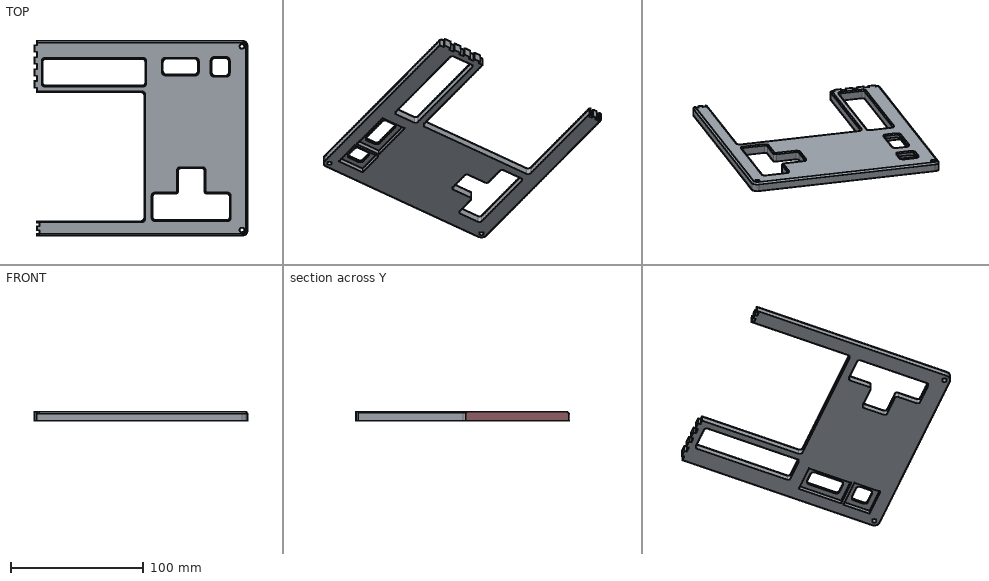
import cadquery as cq

LENGTH = 161.4
WIDTH = 147.5
THICKNESS = 7.0
RIGHT = LENGTH / 2
LEFT = -LENGTH / 2
BACK = WIDTH / 2
FRONT = -WIDTH / 2

CORNER_RADIUS = 4.4
EDGE_CHAMFER = 1.5
OPENING_CHAMFER = 1.0

BAY_END_X = 2.5
BACK_ARM_WIDTH = 39.0
FRONT_ARM_WIDTH = 11.1
BAY_RADIUS = 2.5

TOOTH_LENGTH = 2.0
TOOTH_WIDTH = 5.2
TOOTH_PITCH = 9.0
TOOTH_COUNT = 4
ARM_END_X = LEFT + TOOTH_LENGTH

NOTCH_DEPTH = 2.0
NOTCH_WIDTH = 2.6
NOTCH_PITCH = 5.8
NOTCH_COUNT = 2
FIRST_NOTCH_OFFSET = 1.5

LONG_WINDOW = (-74.2, 3.0, 39.9, 59.9)
SMALL_WINDOWS = [
    (16.6, 42.9, 48.2, 60.0),
    (53.4, 66.3, 47.3, 60.5),
]
WINDOW_RADIUS = 2.0
SMALL_WINDOW_RADIUS = 2.5

T_BAR = (8.9, 67.0, -61.8, -42.0)
T_STEM = (28.0, 48.0, -42.0, -22.8)

LIP_THICKNESS = 3.0
RECESS_MARGIN = 4.2

HOLE_DIAMETER = 3.4
HOLE_INSET = 4.4

TRIM_ALLOWANCE = 8.0


def block(left, right, front, back):
    """Full-thickness rectangular block between the given X and Y limits."""
    return (
        cq.Workplane("XY")
        .box(right - left, back - front, THICKNESS, centered=False)
        .translate((left, front, 0))
    )


def cut_flared(plate, cutter):
    """Cut an opening through the plate and chamfer its top rim outwards."""
    base = cutter.faces("<Z").wires().val()
    rim_bottom = base.translate(cq.Vector(0, 0, THICKNESS - OPENING_CHAMFER))
    rim_top = base.offset2D(OPENING_CHAMFER)[0].translate(cq.Vector(0, 0, THICKNESS))
    rim = cq.Workplane(cq.Solid.makeLoft([rim_bottom, rim_top], True))
    return plate.cut(cutter).cut(rim)


def plate_with_openings():
    """Plate with over-long arms, the bay and windows, and chamfered top edges."""
    plate = block(LEFT - TRIM_ALLOWANCE, RIGHT, FRONT, BACK)
    plate = plate.edges("|Z and >X").fillet(CORNER_RADIUS)
    plate = plate.faces(">Z").edges().chamfer(EDGE_CHAMFER)

    bay = block(
        LEFT - TRIM_ALLOWANCE, BAY_END_X, FRONT + FRONT_ARM_WIDTH, BACK - BACK_ARM_WIDTH
    )
    plate = cut_flared(plate, bay.edges("|Z and >X").fillet(BAY_RADIUS))
    plate = cut_flared(plate, block(*LONG_WINDOW).edges("|Z").fillet(WINDOW_RADIUS))
    for limits in SMALL_WINDOWS:
        plate = cut_flared(plate, block(*limits).edges("|Z").fillet(SMALL_WINDOW_RADIUS))
    t_window = block(*T_BAR).union(block(*T_STEM))
    return cut_flared(plate, t_window.edges("|Z").fillet(WINDOW_RADIUS))


def cut_window_recesses(plate):
    """Thin the plate from below around each small window."""
    for left, right, front, back in SMALL_WINDOWS:
        recess = block(
            left - RECESS_MARGIN, right + RECESS_MARGIN, front - RECESS_MARGIN, back + RECESS_MARGIN
        )
        plate = plate.cut(recess.translate((0, 0, -LIP_THICKNESS)))
    return plate


def trim_arm_ends(plate):
    """Cut both arms to length, leaving the teeth on the back arm."""
    trim = block(LEFT - TRIM_ALLOWANCE, ARM_END_X, FRONT, BACK)
    teeth_length = (TOOTH_COUNT - 1) * TOOTH_PITCH + TOOTH_WIDTH
    first_tooth_y = BACK - (BACK_ARM_WIDTH + teeth_length) / 2
    for index in range(TOOTH_COUNT):
        tooth_front = first_tooth_y + index * TOOTH_PITCH
        trim = trim.cut(block(LEFT, ARM_END_X, tooth_front, tooth_front + TOOTH_WIDTH))
    return plate.cut(trim)


def cut_notches(plate):
    """Cut the two notches into the end of the front arm."""
    for index in range(NOTCH_COUNT):
        notch_front = FRONT + FIRST_NOTCH_OFFSET + index * NOTCH_PITCH
        plate = plate.cut(
            block(ARM_END_X, ARM_END_X + NOTCH_DEPTH, notch_front, notch_front + NOTCH_WIDTH)
        )
    return plate


def cut_corner_holes(plate):
    """Drill the through holes in the right-hand corners."""
    hole_x = RIGHT - HOLE_INSET
    hole_y = BACK - HOLE_INSET
    holes = (
        cq.Workplane("XY")
        .pushPoints([(hole_x, hole_y), (hole_x, -hole_y)])
        .circle(HOLE_DIAMETER / 2)
        .extrude(THICKNESS)
    )
    return plate.cut(holes)


result = plate_with_openings()
result = cut_window_recesses(result)
result = trim_arm_ends(result)
result = cut_notches(result)
result = cut_corner_holes(result)